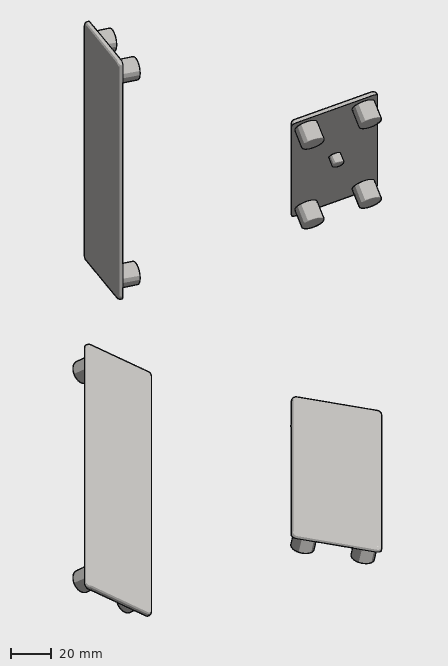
import cadquery as cq

plate_width = 45.0
plate_height = 135.0
plate_thickness = 2.5
corner_radius = 2.5
front_edge_radius = 2.0

post_diameter = 11.7
post_length = 10.0
post_end_radius = 0.5
post_spacing_x = 30.0
post_spacing_z = 115.7

pin_diameter = 6.2
pin_length = 5.1
pin_end_radius = 0.8


def make_plate():
    """Flat plate with rounded corners and a rounded front edge."""
    plate = (
        cq.Workplane("XZ")
        .rect(plate_width, plate_height)
        .extrude(plate_thickness)
        .edges("|Y")
        .fillet(corner_radius)
    )
    return plate.faces("<Y").edges().fillet(front_edge_radius)


def make_peg(diameter, length, end_radius, x=0, z=0):
    """Round peg standing on the back face, with a rounded free end."""
    peg = cq.Workplane("XZ").center(x, z).circle(diameter / 2).extrude(-length)
    return peg.faces(">Y").edges().fillet(end_radius)


result = make_plate().union(make_peg(pin_diameter, pin_length, pin_end_radius))
for x_side in (-1, 1):
    for z_side in (-1, 1):
        post_x = x_side * post_spacing_x / 2
        post_z = z_side * post_spacing_z / 2
        result = result.union(make_peg(post_diameter, post_length, post_end_radius, post_x, post_z))